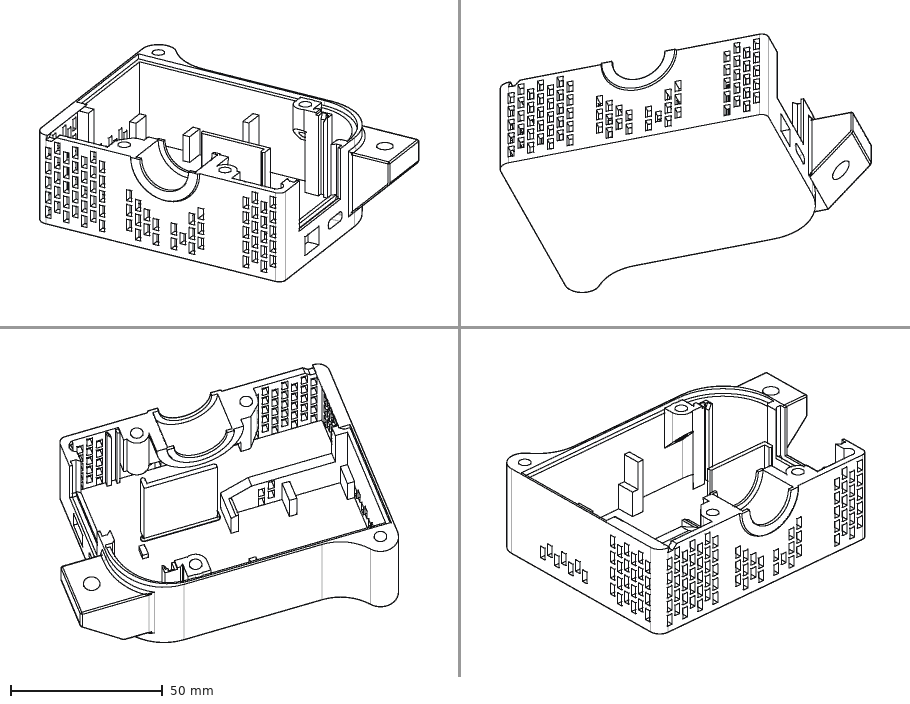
import cadquery as cq
import math

HEIGHT = 32.7
LENGTH = 93.7
DEPTH = 68.6
FLOOR = 2.3
LEFT_WALL = 2.2
FRONT_WALL = 2.4
BACK_WALL = 2.5
REAR_CORNER_R = 20.1
FRONT_LEFT_R = 4.0
FRONT_RIGHT_R = 2.4
ARC_X = LENGTH - REAR_CORNER_R
ARC_Y = DEPTH - REAR_CORNER_R
INNER_BACK = DEPTH - BACK_WALL

EAR_R = 6.0
EAR_Y = 71.9
EAR_SWEEP_R = 18.5
SCREW_R = 2.1
SCREW_DEPTH = 13.0

LEDGE_Z = 30.9
LIP = 0.8
LEDGE_ARC_R = 21.6
INNER_ARC_R = LEDGE_ARC_R + LIP - BACK_WALL
LEDGE_FRONT = 26.5

PANEL_WALL_X = 89.4
PANEL_WALL_END = 45.2
PANEL_WALL_BEVEL = 0.9
RELIEF_R = 2.3
RELIEF_X = 89.0
GROOVE_X = (90.8, 92.7)
GROOVE_Y = (9.9, 41.5)
GROOVE_Z = 12.5
GROOVE_BEVEL = 0.9
WINDOW_Y = (11.6, 39.3)
WINDOW_Z = 14.1
WINDOW_BEVEL = 1.3

PORT_WIDTH = 9.2
ROUND_PORT_Y = 35.6
ROUND_PORT_Z = 7.8
ROUND_PORT_HEIGHT = 3.4
ROUND_PORT_CORNER_R = 1.5
SQUARE_PORT_Y = 20.2
SQUARE_PORT_Z = (3.5, 10.3)

TAB_END = 108.6
TAB_Y = (45.4, 65.7)
TAB_TOP = 28.5
TAB_NOSE_Z = 20.3
TAB_HOLE = (101.3, 55.5)
TAB_HOLE_R = 2.7
TAB_BEVEL = 0.5
TAB_ROOT_BEVEL = 1.0

SEAT_X = 49.3
SEAT_R = 11.3
SEAT_Y = (0.5, 15.2)
SHAFT_R = 9.2
SHELL_R = 15.2
SHELL_END = 15.5
COLLAR = 0.7
COLLAR_R = 13.1
COLLAR_TIP_R = 12.7
REAR_COLLAR_R = 11.7

BOSS_R = 4.0
FRONT_BOSS_Y = 6.5
LEFT_BOSS_X = 30.1
RIGHT_BOSS_X = 68.3
LEFT_BOSS_BOTTOM = 18.9
LEFT_BOSS_FOOT = 13.8
RIGHT_BOSS_BOTTOM = 14.0
BOSS_WEB_Y = 12.7
RIGHT_BOSS_BLOCK_Y = 7.7
REAR_BOSS = (67.3, 62.3)
REAR_BOSS_BOTTOM = 17.3

GUIDE_X = (73.3, 77.8)
ARM_X = 69.2
BOARD_X = (74.3, 76.3)
REAR_GUIDE_Y = (58.6, 61.6)
BOARD_END = 60.2
FRONT_GUIDE_END = 3.9
LEAD_IN = 1.0
GUIDE_TOP = 31.8
BOARD_REST_Y = (31.2, 35.1)
BOARD_REST_Z = 4.3

REST_Z = 11.7
REST_XS = ((LEFT_WALL, 4.7), (22.4, 25.0), (42.7, 45.2))
REAR_REST_Y = 59.3
RIB_Y = (24.3, 27.9)
FRONT_REST_END = 35.1
STOP_X = 47.5
STOP_Z = 22.3
RIB_Z = 15.4
RIB_FLAT_END = 35.6
RIB_END = 45.3
RIB_END_Z = 11.0
PILLAR_X = 6.4

DIVIDER_X = (47.7, 73.3)
DIVIDER_Y = (26.5, 28.1)
DIVIDER_HOOK_X = 71.8
DIVIDER_HOOK_Y = 23.9
DIVIDER_FOOT = 1.0
DIVIDER_BACK_FOOT = 0.7
DIVIDER_TOE = (2.8, 1.1)
DIVIDER_EDGE = 0.5

OVERHANG_X = 4.7
NOTCH_X = (4.0, 6.2)

VENT_W = 2.1
FRONT_VENT_X = 4.9
LAST_FRONT_VENT_X = 90.2
LAST_COLUMN = 25
VENT_PITCH = (LAST_FRONT_VENT_X - FRONT_VENT_X) / LAST_COLUMN
FRONT_VENT_H = 4.0
FRONT_VENT_DEPTH = 4.3
FRONT_VENT_Z = (4.5, 7.2)
FRONT_VENT_STEP = 5.4
FULL_ROWS = 5
FULL_COLUMNS = (0, 1, 2, 3, 4, 5, 6, 22, 23, 24, LAST_COLUMN)
SHORT_COLUMNS = {9: 3, 10: 3, 11: 2, 12: 2, 14: 2, 15: 1, 16: 3, 17: 3}
RIB_COLUMNS = (7, 8)
RIB_ROWS = 2
LEFT_VENT_Y = 5.5
LEFT_VENT_H = 4.2
LEFT_VENT_Z = (5.9, 8.0)
LEFT_VENT_STEP = 6.2
LEFT_ROWS = 4
LEFT_COLUMNS = range(6)
LOW_VENT_COLUMNS = range(9, 16)
LOW_VENT_Z = (9.3, 7.0)
LOW_VENT_H = 4.5


def box(xs, ys, zs):
    """Axis-aligned block between three pairs of coordinates."""
    size = [pair[1] - pair[0] for pair in (xs, ys, zs)]
    return cq.Workplane("XY").box(*size, centered=False).translate((xs[0], ys[0], zs[0]))


def post(center, radius, bottom, top=HEIGHT):
    """Upright cylinder."""
    return cq.Workplane("XY", origin=(*center, bottom)).circle(radius).extrude(top - bottom)


def side_prism(points, ys):
    """XZ polygon extruded between two Y positions."""
    return cq.Workplane("XZ", origin=(0, ys[0], 0)).polyline(points).close().extrude(ys[0] - ys[1])


def shaft_cone(start_r, end_r, ys):
    """Solid of revolution on the shaft axis, with one radius at each Y end."""
    profile = [(0, ys[0]), (start_r, ys[0]), (end_r, ys[1]), (0, ys[1])]
    solid = cq.Workplane("XY").polyline(profile).close().revolve(360, (0, 0), (0, 1))
    return solid.translate((SEAT_X, 0, HEIGHT))


def outer_body():
    """Solid outline of the box with the screw ear swept into the back."""
    sweep_y = DEPTH + EAR_SWEEP_R
    rise = sweep_y - EAR_Y
    run = math.sqrt((EAR_R + EAR_SWEEP_R) ** 2 - rise ** 2)
    sweep_x = EAR_R + run
    lean = math.atan2(rise, run)
    joint = (EAR_R + EAR_R * math.cos(lean), EAR_Y + EAR_R * math.sin(lean))
    ear_mid = (lean + math.pi) / 2
    corner_mid = REAR_CORNER_R * math.sqrt(0.5)
    body = (
        cq.Workplane("XY")
        .moveTo(0, 0)
        .lineTo(LENGTH, 0)
        .lineTo(LENGTH, ARC_Y)
        .threePointArc((ARC_X + corner_mid, ARC_Y + corner_mid), (ARC_X, DEPTH))
        .lineTo(sweep_x, DEPTH)
        .radiusArc(joint, EAR_SWEEP_R)
        .threePointArc((EAR_R + EAR_R * math.cos(ear_mid), EAR_Y + EAR_R * math.sin(ear_mid)), (0, EAR_Y))
        .close()
        .extrude(HEIGHT)
    )
    body = body.edges("|Z and <X and <Y").fillet(FRONT_LEFT_R)
    return body.edges("|Z and >X and <Y").fillet(FRONT_RIGHT_R)


def mounting_tab():
    """Tab with a 45 degree underside, running into the box."""
    root_x = ARC_X
    profile = [
        (root_x, TAB_TOP),
        (TAB_END, TAB_TOP),
        (TAB_END, TAB_NOSE_Z),
        (LENGTH, TAB_NOSE_Z - (TAB_END - LENGTH)),
        (root_x, TAB_NOSE_Z - (TAB_END - LENGTH)),
    ]
    return side_prism(profile, TAB_Y)


def tab_on_body(body):
    """Body joined to the tab, with bevelled tab edges and a bevel where the tab meets the wall."""
    plain = mounting_tab()
    margin = 1.1
    root = cq.selectors.BoxSelector(
        (ARC_X, TAB_Y[0] - margin, TAB_TOP / 2), (LENGTH + margin, TAB_Y[1] + margin, TAB_TOP + margin)
    )
    root_bevel = body.union(plain).edges(root).chamfer(TAB_ROOT_BEVEL).cut(plain)
    tab = plain.faces("<Y or >Y or >X").edges().chamfer(TAB_BEVEL)
    hole = cq.Workplane("XY").center(*TAB_HOLE).circle(TAB_HOLE_R).extrude(HEIGHT)
    return root_bevel.union(tab).union(body).cut(hole)


def cavity():
    right = LENGTH - BACK_WALL
    shift = INNER_ARC_R * (1 - math.sqrt(0.5))
    room = (
        cq.Workplane("XY", origin=(0, 0, FLOOR))
        .moveTo(LEFT_WALL, FRONT_WALL)
        .lineTo(PANEL_WALL_X, FRONT_WALL)
        .lineTo(PANEL_WALL_X, PANEL_WALL_END - PANEL_WALL_BEVEL)
        .lineTo(PANEL_WALL_X + PANEL_WALL_BEVEL, PANEL_WALL_END)
        .lineTo(right, PANEL_WALL_END)
        .lineTo(right, INNER_BACK - INNER_ARC_R)
        .threePointArc((right - shift, INNER_BACK - shift), (right - INNER_ARC_R, INNER_BACK))
        .lineTo(LEFT_WALL, INNER_BACK)
        .close()
        .extrude(HEIGHT)
    )
    return room.union(post((RELIEF_X, FRONT_WALL + RELIEF_R), RELIEF_R, FLOOR))


def lid_ledge():
    """Shallow step around the left, back and curved walls that seats the lid."""
    right = LENGTH - LIP
    back = DEPTH - LIP
    shift = LEDGE_ARC_R * (1 - math.sqrt(0.5))
    return (
        cq.Workplane("XY", origin=(0, 0, LEDGE_Z))
        .moveTo(LIP, LEDGE_FRONT)
        .lineTo(SEAT_X, LEDGE_FRONT)
        .lineTo(SEAT_X, PANEL_WALL_END)
        .lineTo(right, PANEL_WALL_END)
        .lineTo(right, back - LEDGE_ARC_R)
        .threePointArc((right - shift, back - shift), (right - LEDGE_ARC_R, back))
        .lineTo(LIP, back)
        .close()
        .extrude(HEIGHT - LEDGE_Z)
    )


def panel_opening():
    """Window in the right wall with the groove that holds a sliding panel."""
    groove = box(GROOVE_X, GROOVE_Y, (GROOVE_Z, HEIGHT)).edges("|X and <Z").chamfer(GROOVE_BEVEL)
    window = box((GROOVE_X[0], LENGTH), WINDOW_Y, (WINDOW_Z, HEIGHT))
    mouth = (
        cq.Workplane("XY", origin=(0, 0, WINDOW_Z))
        .polyline([
            (GROOVE_X[0], GROOVE_Y[0]),
            (GROOVE_X[0], GROOVE_Y[1]),
            (PANEL_WALL_X, GROOVE_Y[1] - WINDOW_BEVEL),
            (PANEL_WALL_X, GROOVE_Y[0] + WINDOW_BEVEL),
        ])
        .close()
        .extrude(HEIGHT - WINDOW_Z)
    )
    return groove.union(window).union(mouth)


def ports():
    wall = (PANEL_WALL_X, LENGTH)
    half = PORT_WIDTH / 2
    half_height = ROUND_PORT_HEIGHT / 2
    rounded = box(
        wall,
        (ROUND_PORT_Y - half, ROUND_PORT_Y + half),
        (ROUND_PORT_Z - half_height, ROUND_PORT_Z + half_height),
    )
    rounded = rounded.edges("|X").fillet(ROUND_PORT_CORNER_R)
    return rounded.union(box(wall, (SQUARE_PORT_Y - half, SQUARE_PORT_Y + half), SQUARE_PORT_Z))


def front_bosses():
    """Two screw bosses tied to the front wall and the seat; the left one has a 45 degree underside."""
    reach = BOSS_R * math.sqrt(0.5)
    tangent = (LEFT_BOSS_X - reach, FRONT_BOSS_Y + reach)
    left = (
        cq.Workplane("XY", origin=(0, 0, LEFT_BOSS_FOOT))
        .moveTo(LEFT_BOSS_X - BOSS_R, FRONT_WALL)
        .lineTo(LEFT_BOSS_X - BOSS_R, FRONT_BOSS_Y)
        .radiusArc(tangent, BOSS_R)
        .lineTo(tangent[0] + BOSS_WEB_Y - tangent[1], BOSS_WEB_Y)
        .lineTo(SEAT_X - SHAFT_R, BOSS_WEB_Y)
        .lineTo(SEAT_X - SHAFT_R, FRONT_WALL)
        .close()
        .extrude(HEIGHT - LEFT_BOSS_FOOT)
    )
    edge = LEFT_BOSS_X - BOSS_R
    shell_edge = SEAT_X - SHELL_R
    underside = [
        (edge, 0),
        (edge, LEFT_BOSS_BOTTOM),
        (edge + LEFT_BOSS_BOTTOM - LEFT_BOSS_FOOT, LEFT_BOSS_FOOT),
        (shell_edge, LEFT_BOSS_FOOT),
        (shell_edge, LEFT_BOSS_BOTTOM),
        (SEAT_X, LEFT_BOSS_BOTTOM),
        (SEAT_X, 0),
    ]
    left = left.cut(side_prism(underside, (0, BOSS_WEB_Y)))
    right = box((SEAT_X + SHAFT_R, GUIDE_X[0]), (FRONT_WALL, RIGHT_BOSS_BLOCK_Y), (RIGHT_BOSS_BOTTOM, HEIGHT))
    return left.union(right).union(post((RIGHT_BOSS_X, FRONT_BOSS_Y), BOSS_R, RIGHT_BOSS_BOTTOM))


def shaft_seat():
    """Half-round shell with a collar on each end, trimmed at the rim."""
    seat = shaft_cone(SHELL_R, SHELL_R, (0, SHELL_END))
    seat = seat.union(shaft_cone(COLLAR_TIP_R, COLLAR_R, (-COLLAR, 0)))
    seat = seat.union(shaft_cone(REAR_COLLAR_R, REAR_COLLAR_R, (SHELL_END, SHELL_END + COLLAR)))
    return seat.intersect(box((0, LENGTH), (-COLLAR, DEPTH), (0, HEIGHT)))


def shaft_bore():
    bore = shaft_cone(SHAFT_R, SHAFT_R, (-COLLAR, SHELL_END + COLLAR))
    return bore.union(shaft_cone(SEAT_R, SEAT_R, SEAT_Y))


def rear_boss():
    """Boss on the back wall with a 45 degree underside for support."""
    x, y = REAR_BOSS
    front = y - BOSS_R
    boss = post(REAR_BOSS, BOSS_R, FLOOR)
    boss = boss.union(box((x - BOSS_R, x + BOSS_R), (y, INNER_BACK), (FLOOR, HEIGHT)))
    boss = boss.union(box((x, x + BOSS_R), REAR_GUIDE_Y, (FLOOR, HEIGHT)))
    below = (
        cq.Workplane("YZ", origin=(x - BOSS_R, 0, 0))
        .polyline([
            (INNER_BACK, 0),
            (INNER_BACK, REAR_BOSS_BOTTOM),
            (front, REAR_BOSS_BOTTOM + INNER_BACK - front),
            (front, 0),
        ])
        .close()
        .extrude(2 * BOSS_R)
    )
    return boss.cut(below)


def board_guides():
    """Slotted uprights at the back and front, flared at the top of the slot; an arm joins the rear boss."""
    depth = REAR_GUIDE_Y[1] - REAR_GUIDE_Y[0]
    arm = (
        cq.Workplane("XY", origin=(0, 0, FLOOR))
        .polyline([
            (ARM_X, REAR_GUIDE_Y[0]),
            (GUIDE_X[0], REAR_GUIDE_Y[0]),
            (GUIDE_X[0], REAR_GUIDE_Y[1]),
            (ARM_X + depth, REAR_GUIDE_Y[1]),
        ])
        .close()
        .extrude(HEIGHT - FLOOR)
    )
    rear = box(GUIDE_X, REAR_GUIDE_Y, (FLOOR, GUIDE_TOP))
    front = box(GUIDE_X, (FRONT_WALL, FRONT_GUIDE_END), (FLOOR, GUIDE_TOP))
    slot = box(BOARD_X, (FRONT_WALL, BOARD_END), (FLOOR, HEIGHT))
    lead_in = (
        cq.Workplane("YZ", origin=(BOARD_X[0], 0, 0))
        .polyline([(BOARD_END, GUIDE_TOP), (BOARD_END + LEAD_IN, GUIDE_TOP), (BOARD_END, GUIDE_TOP - 2 * LEAD_IN)])
        .close()
        .extrude(BOARD_X[1] - BOARD_X[0])
    )
    flare = side_prism(
        [(BOARD_X[1], GUIDE_TOP), (BOARD_X[1] + LEAD_IN, GUIDE_TOP), (BOARD_X[1], GUIDE_TOP - 2 * LEAD_IN)],
        (FRONT_WALL, BOARD_END),
    )
    rest = box(BOARD_X, BOARD_REST_Y, (FLOOR, BOARD_REST_Z))
    return arm.union(rear).union(front).cut(slot).cut(lead_in).cut(flare).union(rest)


def battery_rests():
    parts = box((REST_XS[-1][0], STOP_X), (REAR_REST_Y, INNER_BACK), (FLOOR, REST_Z))
    parts = parts.union(box((REST_XS[-1][1], STOP_X), (REAR_REST_Y, INNER_BACK), (FLOOR, STOP_Z)))
    for xs in REST_XS[:-1]:
        parts = parts.union(box(xs, (REAR_REST_Y, INNER_BACK), (FLOOR, REST_Z)))
        parts = parts.union(box(xs, (RIB_Y[1], FRONT_REST_END), (FLOOR, REST_Z)))
    return parts


def front_rib():
    """Rib that slopes down to the right, where its last rest shares the slope."""
    rib = side_prism(
        [(LEFT_WALL, FLOOR), (LEFT_WALL, RIB_Z), (RIB_FLAT_END, RIB_Z), (RIB_END, RIB_END_Z), (RIB_END, FLOOR)],
        (RIB_Y[0], FRONT_REST_END),
    )
    behind = (RIB_Y[1], FRONT_REST_END)
    rib = rib.cut(box((LEFT_WALL, REST_XS[-1][0]), behind, (FLOOR, HEIGHT)))
    rib = rib.cut(box((LEFT_WALL, RIB_END), behind, (REST_Z, HEIGHT)))
    return rib.union(box((LEFT_WALL, PILLAR_X), RIB_Y, (FLOOR, LEDGE_Z)))


def divider():
    """Plate with a hook on its right end and a low foot, bevelled behind and rounded at the ends."""
    plate = box(DIVIDER_X, DIVIDER_Y, (FLOOR, HEIGHT)).edges("|Z and <X and <Y").chamfer(DIVIDER_EDGE)
    hook = box((DIVIDER_HOOK_X, DIVIDER_X[1]), (DIVIDER_HOOK_Y, DIVIDER_Y[1]), (FLOOR, HEIGHT))
    hook = hook.edges("|Z and <Y").chamfer(DIVIDER_EDGE)
    left = DIVIDER_X[0] - DIVIDER_FOOT
    right = DIVIDER_X[1] + DIVIDER_FOOT
    foot_y = (DIVIDER_Y[0], DIVIDER_Y[1] + DIVIDER_BACK_FOOT)
    foot = box((left, right), foot_y, (FLOOR, FLOOR + DIVIDER_FOOT))
    foot = foot.edges("|Z").fillet(DIVIDER_FOOT)
    foot = foot.faces(">Z").edges(">Y").chamfer(DIVIDER_BACK_FOOT)
    toe = box(
        (left, left + DIVIDER_TOE[0]),
        (DIVIDER_Y[0] - DIVIDER_TOE[1], DIVIDER_Y[1]),
        (FLOOR, FLOOR + DIVIDER_FOOT),
    )
    toe = toe.edges("|Z and <Y").fillet(DIVIDER_FOOT)
    return plate.union(hook).union(foot).union(toe)


def left_overhang():
    """Widened left rim with a 45 degree underside, from the front wall to the ledge."""
    drop = OVERHANG_X - LEFT_WALL
    return side_prism(
        [(LEFT_WALL, HEIGHT), (OVERHANG_X, HEIGHT), (LEFT_WALL, HEIGHT - drop)], (FRONT_WALL, LEDGE_FRONT)
    )


def lid_notch():
    drop = HEIGHT - LEDGE_Z
    left, right = NOTCH_X
    return side_prism(
        [(left, LEDGE_Z), (right, LEDGE_Z), (right + drop, HEIGHT), (OVERHANG_X, HEIGHT)], (0, FRONT_WALL)
    )


def vent_cells(column, rows, first_center, heights, step, height):
    """Horizontal and Z spans of each vent in one vertical run; odd columns start at the second height."""
    center = first_center + VENT_PITCH * column
    span = (center - VENT_W / 2, center + VENT_W / 2)
    for row in range(rows):
        z = heights[column % 2] + step * row
        yield span, (z - height / 2, z + height / 2)


def front_cells(column, rows):
    return vent_cells(column, rows, FRONT_VENT_X, FRONT_VENT_Z, FRONT_VENT_STEP, FRONT_VENT_H)


def vents():
    """Staggered vents in the front wall, the rib and the left wall."""
    rows_in_front = {column: FULL_ROWS for column in FULL_COLUMNS}
    rows_in_front.update(SHORT_COLUMNS)
    cells = []
    for column, rows in rows_in_front.items():
        cells += [box(xs, (0, FRONT_VENT_DEPTH), zs) for xs, zs in front_cells(column, rows)]
    for column in RIB_COLUMNS:
        cells += [box(xs, RIB_Y, zs) for xs, zs in front_cells(column, RIB_ROWS)]
    left_runs = [(column, LEFT_ROWS, LEFT_VENT_Z, LEFT_VENT_H) for column in LEFT_COLUMNS]
    left_runs += [(column, 1, LOW_VENT_Z, LOW_VENT_H) for column in LOW_VENT_COLUMNS]
    for column, rows, heights, height in left_runs:
        spans = vent_cells(column, rows, LEFT_VENT_Y, heights, LEFT_VENT_STEP, height)
        cells += [box((0, LEFT_WALL), ys, zs) for ys, zs in spans]
    return cq.Compound.makeCompound([cell.val() for cell in cells])


def screw_holes():
    centers = [
        (EAR_R, EAR_Y), REAR_BOSS, (LEFT_BOSS_X, FRONT_BOSS_Y), (RIGHT_BOSS_X, FRONT_BOSS_Y)
    ]
    top = cq.Workplane("XY", origin=(0, 0, HEIGHT - SCREW_DEPTH))
    return top.pushPoints(centers).circle(SCREW_R).extrude(SCREW_DEPTH)


body = tab_on_body(outer_body())
body = body.cut(cavity()).cut(lid_ledge()).cut(panel_opening()).cut(ports())

for feature in (
    left_overhang(),
    front_bosses(),
    shaft_seat(),
    rear_boss(),
    board_guides(),
    battery_rests(),
    front_rib(),
    divider(),
):
    body = body.union(feature)

body = body.cut(shaft_bore()).cut(screw_holes()).cut(lid_notch())
result = body.cut(cq.Workplane(vents()))